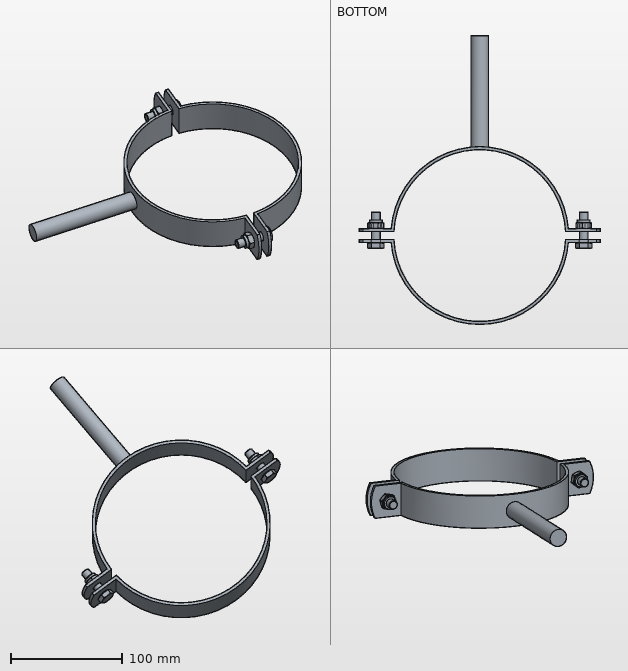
import cadquery as cq
import math

band_outer_radius = 80.0
band_thickness = 2.9
band_inner_radius = band_outer_radius - band_thickness
band_height = 30.0
clamp_gap = 7.0
ear_tip_x = 108.5
ear_tip_sagitta = 3.6

total_length = 259.5
rod_diameter = 16.0
rod_end_y = band_outer_radius - total_length

bolt_x = 93.5
bolt_diameter = 8.0
bolt_end_chamfer = 0.5
bolt_end_y = -21.3
hole_diameter = 8.5
head_height = 4.7
washer_face_height = 0.5
washer_face_diameter = 11.5
hex_across_flats = 13
hex_across_corners = hex_across_flats / math.cos(math.radians(30))

nut_hex_height = 5.2
nut_collar_height = 2.5
nut_collar_diameter = 11.7
nut_turns = {-1: 47, 1: 20}
hex_chamfer_diameter = 13
hex_chamfer_slope = math.tan(math.radians(30))

ear_inner_y = clamp_gap / 2
ear_outer_y = ear_inner_y + band_thickness


def cylinder_along_y(diameter, y_start, y_end, x=0):
    """Cylinder parallel to Y between two Y positions."""
    return (
        cq.Workplane("XZ", origin=(x, y_end, 0))
        .circle(diameter / 2)
        .extrude(y_end - y_start)
    )


def make_ears():
    """Plate in the +Y half with rounded tips, carrying both ears."""
    corner_x = ear_tip_x - ear_tip_sagitta
    half_height = band_height / 2
    return (
        cq.Workplane("XZ", origin=(0, ear_outer_y, 0))
        .moveTo(-corner_x, -half_height)
        .lineTo(corner_x, -half_height)
        .threePointArc((ear_tip_x, 0), (corner_x, half_height))
        .lineTo(-corner_x, half_height)
        .threePointArc((-ear_tip_x, 0), (-corner_x, -half_height))
        .close()
        .extrude(band_thickness)
    )


def make_upper_half():
    """Half ring on the +Y side with two drilled ears."""
    half_space = cq.Workplane("XY").box(
        2 * band_outer_radius, band_outer_radius, band_height, centered=(True, False, True)
    ).translate((0, ear_inner_y, 0))
    disc = cq.Workplane("XY").circle(band_outer_radius).extrude(band_height / 2, both=True)
    bore = cq.Workplane("XY").circle(band_inner_radius).extrude(band_height / 2, both=True)
    half = disc.intersect(half_space).union(make_ears()).cut(bore)
    for side in (-1, 1):
        half = half.cut(cylinder_along_y(hole_diameter, ear_inner_y, ear_outer_y, side * bolt_x))
    return half


def make_lower_half(upper_half):
    """Mirrored half ring with the rod joined to its outer face."""
    rod_root_y = -(band_inner_radius + band_thickness / 2)
    rod = cylinder_along_y(rod_diameter, rod_end_y, rod_root_y)
    return upper_half.mirror("XZ").union(rod)


def make_hexagon(height, turn, chamfered_base):
    """Hexagon standing on Z = 0 with its corners bevelled at the top and optionally the base."""
    prism = (
        cq.Workplane("XY")
        .polygon(6, hex_across_corners)
        .extrude(height)
        .rotate((0, 0, 0), (0, 0, 1), turn)
    )
    chamfer_width = (hex_across_corners - hex_chamfer_diameter) / 2
    chamfer_height = chamfer_width * hex_chamfer_slope
    blank = cq.Workplane("XY").circle(hex_across_corners / 2).extrude(height)
    bevelled_edges = "%CIRCLE" if chamfered_base else ">Z"
    blank = blank.edges(bevelled_edges).chamfer(chamfer_height, chamfer_width)
    return prism.intersect(blank)


def make_bolt(side):
    """Hexagon head bolt, its washer face seated on the +Y ear."""
    shank = cylinder_along_y(bolt_diameter, bolt_end_y, ear_outer_y, side * bolt_x)
    shank = shank.faces("<Y").chamfer(bolt_end_chamfer)
    head_base_y = ear_outer_y + washer_face_height
    washer_face = cylinder_along_y(washer_face_diameter, ear_outer_y, head_base_y, side * bolt_x)
    head = (
        make_hexagon(head_height, turn=0, chamfered_base=False)
        .rotate((0, 0, 0), (1, 0, 0), -90)
        .translate((side * bolt_x, head_base_y, 0))
    )
    return shank.union(washer_face).union(head)


def make_nut(side):
    """Lock nut seated on the -Y ear."""
    hexagon = make_hexagon(nut_hex_height, nut_turns[side], chamfered_base=True)
    collar = (
        cq.Workplane("XY", origin=(0, 0, nut_hex_height))
        .circle(nut_collar_diameter / 2)
        .extrude(nut_collar_height)
    )
    bore = cq.Workplane("XY").circle(bolt_diameter / 2).extrude(nut_hex_height + nut_collar_height)
    return (
        hexagon.union(collar)
        .cut(bore)
        .rotate((0, 0, 0), (1, 0, 0), 90)
        .translate((side * bolt_x, -ear_outer_y, 0))
    )


upper_half = make_upper_half()
lower_half = make_lower_half(upper_half)
bolts = [make_bolt(side) for side in (-1, 1)]
nuts = [make_nut(side) for side in (-1, 1)]

result = cq.Compound.makeCompound(
    [body.val() for body in [upper_half, lower_half, *bolts, *nuts]]
)